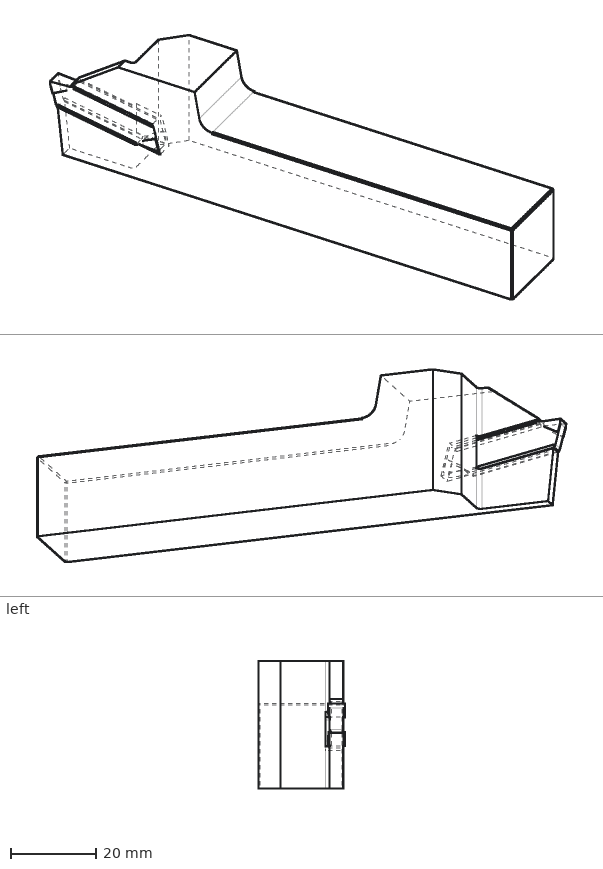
import cadquery as cq
import math

LENGTH = 125.0
SHANK_SIZE = 20.0
HEAD_HEIGHT = 30.0
TOE_X = 3.2
NOSE_X, NOSE_Z = 1.9, 13.1
JAW_X = 5.2
JAW_BREAK_X, JAW_BREAK_Z = 5.9, 21.0
HEAD_TOP_START = 18.2
HEAD_TOP_END = 39.0
HEAD_REAR_ANGLE = 10.0
HEAD_REAR_RADIUS = 3.5
SHANK_CHAMFER = 0.4

BLADE_THICKNESS = 3.2
SHOULDER_X = 20.7
SHOULDER_CHAMFER = 5.2
SHOULDER_RADIUS = 1.0

INSERT_CENTER_X, INSERT_CENTER_Z = 14.6, 15.0
TIP_OVERHANG = 0.4
INSERT_CHAMFER_HEIGHT = 0.7
INSERT_CHAMFER_DEPTH = 0.4
TIP = (0.0, SHANK_SIZE)
LAND_END = (0.1, 18.9)
RELIEF_END = (1.4, 13.9)
BOTTOM_FRONT = (1.7, 13.1)
STEP_FOOT = (JAW_X, SHANK_SIZE)
STEP_TOP = (6.2, 20.5)
CHEEK_TOP = (4.2, SHANK_SIZE)
CHEEK_CORNER = (4.2, 18.6)
CHEEK_FRONT = (0.69, 16.7)

POCKET_DEPTH = BLADE_THICKNESS + SHOULDER_RADIUS
POCKET_CORNER = (29.6, 9.0)


def half_turn(point):
    """Rotate an XZ point by half a turn about the insert centre."""
    return (2 * INSERT_CENTER_X - point[0], 2 * INSERT_CENTER_Z - point[1])


def side_prism(points, y_start, y_end):
    """Extrude an XZ outline from y_start to y_end."""
    plane = cq.Workplane("XZ", origin=(0, y_start, 0))
    return plane.polyline(points).close().extrude(y_start - y_end)


def make_pocket():
    outline = [
        BOTTOM_FRONT,
        half_turn(STEP_TOP),
        half_turn(STEP_FOOT),
        POCKET_CORNER,
        half_turn(LAND_END),
        half_turn(RELIEF_END),
        half_turn(BOTTOM_FRONT),
        STEP_TOP,
        STEP_FOOT,
        TIP,
        (TIP[0], BOTTOM_FRONT[1]),
    ]
    return side_prism(outline, 0, POCKET_DEPTH)


def make_holder():
    lean = math.radians(HEAD_REAR_ANGLE)
    root_x = HEAD_TOP_END + (HEAD_HEIGHT - SHANK_SIZE) * math.tan(lean)
    arc_end_x = root_x + HEAD_REAR_RADIUS * math.tan(math.pi / 4 - lean / 2)
    arc_start_x = arc_end_x - HEAD_REAR_RADIUS * math.cos(lean)
    arc_start_z = SHANK_SIZE + HEAD_REAR_RADIUS * (1 - math.sin(lean))
    profile = (
        cq.Workplane("XZ")
        .moveTo(TOE_X, 0)
        .lineTo(arc_end_x, 0)
        .lineTo(arc_end_x, SHANK_SIZE)
        .radiusArc((arc_start_x, arc_start_z), HEAD_REAR_RADIUS)
        .lineTo(HEAD_TOP_END, HEAD_HEIGHT)
        .lineTo(HEAD_TOP_START, HEAD_HEIGHT)
        .lineTo(JAW_BREAK_X, JAW_BREAK_Z)
        .lineTo(*STEP_FOOT)
        .lineTo(NOSE_X, NOSE_Z)
        .close()
        .extrude(-SHANK_SIZE)
    )

    fillet_x = SHOULDER_X - SHOULDER_RADIUS
    fillet_y = BLADE_THICKNESS + SHOULDER_RADIUS
    plan = (
        cq.Workplane("XY")
        .lineTo(LENGTH, 0)
        .lineTo(LENGTH, SHANK_SIZE)
        .lineTo(SHOULDER_X + SHOULDER_CHAMFER, SHANK_SIZE)
        .lineTo(SHOULDER_X, SHANK_SIZE - SHOULDER_CHAMFER)
        .lineTo(SHOULDER_X, fillet_y)
        .radiusArc((fillet_x, BLADE_THICKNESS), SHOULDER_RADIUS)
        .lineTo(0, BLADE_THICKNESS)
        .close()
        .extrude(HEAD_HEIGHT)
    )
    head = profile.intersect(plan)

    shank = (
        cq.Workplane("XY", origin=(arc_end_x, 0, 0))
        .box(LENGTH - arc_end_x, SHANK_SIZE, SHANK_SIZE, centered=False)
        .edges("(>Z or >X) and (not <X) and (not <Z)")
        .chamfer(SHANK_CHAMFER)
    )
    holder = head.union(shank)
    return holder.cut(make_pocket())


def cheek(base_y, apex_y):
    """Wedge that flares one side of the insert out to its cutting corner."""
    outline = side_prism(
        [TIP, CHEEK_TOP, CHEEK_CORNER, CHEEK_FRONT, LAND_END],
        min(base_y, apex_y),
        max(base_y, apex_y),
    )
    taper = (
        cq.Workplane("XY")
        .polyline([(TIP[0], base_y), (TIP[0], apex_y), (CHEEK_TOP[0], base_y)])
        .close()
        .extrude(SHANK_SIZE)
    )
    return outline.intersect(taper)


def turn_insert(shape):
    pivot = (INSERT_CENTER_X, 0, INSERT_CENTER_Z)
    return shape.rotate(pivot, (INSERT_CENTER_X, 1, INSERT_CENTER_Z), 180)


def chamfer_cutter():
    """Two wedges that bevel the lower long edges of the insert."""
    run = half_turn(STEP_TOP)
    dx = run[0] - BOTTOM_FRONT[0]
    dz = run[1] - BOTTOM_FRONT[1]
    length = math.hypot(dx, dz)
    plane = cq.Plane(
        origin=(BOTTOM_FRONT[0], 0, BOTTOM_FRONT[1]), xDir=(0, 1, 0), normal=(dx, 0, dz)
    )
    lower_left = [(0, 0), (INSERT_CHAMFER_DEPTH, 0), (0, INSERT_CHAMFER_HEIGHT)]
    lower_right = [(BLADE_THICKNESS - across, up) for across, up in lower_left]
    wedges = cq.Workplane(plane).polyline(lower_left).close().extrude(length)
    return wedges.add(cq.Workplane(plane).polyline(lower_right).close().extrude(length)).combine()


def make_insert():
    half_outline = [STEP_TOP, STEP_FOOT, TIP, LAND_END, RELIEF_END, BOTTOM_FRONT]
    outline = half_outline + [half_turn(point) for point in half_outline]
    insert = side_prism(outline, 0, BLADE_THICKNESS)
    bevels = chamfer_cutter()
    insert = insert.cut(bevels).cut(turn_insert(bevels))
    sides = ((0, -TIP_OVERHANG), (BLADE_THICKNESS, BLADE_THICKNESS + TIP_OVERHANG))
    for base_y, apex_y in sides:
        flare = cheek(base_y, apex_y)
        insert = insert.union(flare).union(turn_insert(flare))
    return insert


holder = make_holder()
insert = make_insert()

result = cq.Compound.makeCompound([holder.solids().val(), insert.solids().val()])